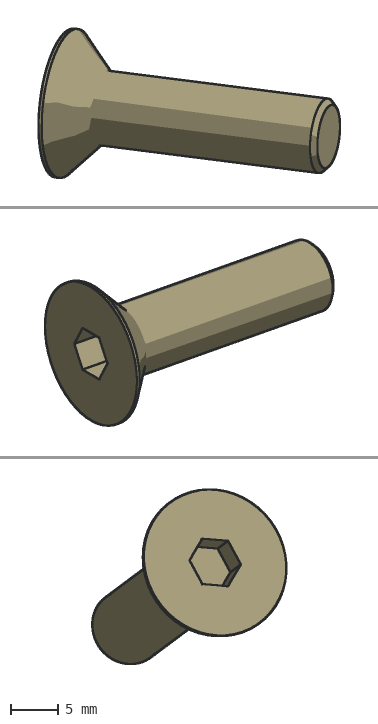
import cadquery as cq
import math

length = 30.0
head_diameter = 16.0
shank_diameter = 8.0
rim_width = 0.4
tip_chamfer = 0.6
neck_fillet = 0.4
socket_across_flats = 4.98
socket_depth = 3.5
cone_half_angle = math.radians(45)

head_radius = head_diameter / 2
shank_radius = shank_diameter / 2

neck_x = rim_width + head_radius - shank_radius

tangent_length = neck_fillet * math.tan(cone_half_angle / 2)
tangent_step = tangent_length * math.sin(cone_half_angle)
fillet_start = (neck_x - tangent_step, shank_radius + tangent_step)
fillet_end = (neck_x + tangent_length, shank_radius)
fillet_center_x = neck_x + tangent_length
fillet_center_radius = shank_radius + neck_fillet
fillet_middle = (
    fillet_center_x - neck_fillet * math.sin(cone_half_angle / 2),
    fillet_center_radius - neck_fillet * math.cos(cone_half_angle / 2),
)


def make_body():
    """Head, neck and shank, turned about the X axis."""
    return (
        cq.Workplane("XY")
        .lineTo(0, head_radius)
        .lineTo(rim_width, head_radius)
        .lineTo(*fillet_start)
        .threePointArc(fillet_middle, fillet_end)
        .lineTo(length - tip_chamfer, shank_radius)
        .lineTo(length, shank_radius - tip_chamfer)
        .lineTo(length, 0)
        .close()
        .revolve(360, (0, 0, 0), (1, 0, 0))
    )


def make_socket():
    """Hexagonal socket with two corners on the Y axis."""
    corner_diameter = socket_across_flats / math.cos(math.radians(30))
    return cq.Workplane("YZ").polygon(6, corner_diameter).extrude(socket_depth)


result = make_body().cut(make_socket())